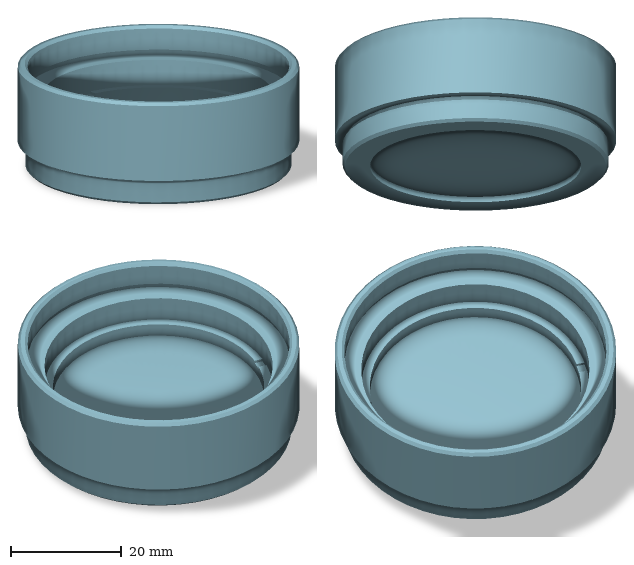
import cadquery as cq
import math

outer_radius = 25.4
total_height = 19.5
edge_chamfer = 0.5
shoulder_z = 4.95
spigot_radius = 24.05
spigot_top_z = 4.05
spigot_groove_radius = 23.5

mouth_radius = 23.6
shelf_z = 14.0
mouth_groove_radius = 24.05
mouth_groove_height = 1.0
bore_radius = 20.55
clear_radius = 19.05
lip_height = 1.0

ring_bottom_z = 6.8
ring_top_z = 9.3
slot_width = 2.0
slot_depth = 0.5

dome_rise = 0.75


def revolve_outline(outline):
    """Turn a closed radius-height outline about the Z axis."""
    return outline.close().revolve(360, (0, 0, 0), (0, 1, 0))


def make_housing():
    rim_edge_z = total_height - edge_chamfer
    outline = cq.Workplane("XZ").polyline([
        (clear_radius, 0),
        (spigot_radius - edge_chamfer, 0),
        (spigot_radius, edge_chamfer),
        (spigot_radius, spigot_top_z),
        (spigot_groove_radius, spigot_top_z),
        (spigot_groove_radius, shoulder_z),
        (outer_radius, shoulder_z),
        (outer_radius, rim_edge_z),
        (outer_radius - edge_chamfer, total_height),
        (mouth_radius + edge_chamfer, total_height),
        (mouth_radius, rim_edge_z),
        (mouth_radius, shelf_z + mouth_groove_height),
        (mouth_groove_radius, shelf_z + mouth_groove_height),
        (mouth_groove_radius, shelf_z),
        (bore_radius, shelf_z),
        (bore_radius, lip_height),
        (clear_radius, lip_height),
    ])
    return revolve_outline(outline)


def make_retaining_ring():
    ring = (
        cq.Workplane("XY", origin=(0, 0, ring_bottom_z))
        .circle(bore_radius)
        .circle(clear_radius)
        .extrude(ring_top_z - ring_bottom_z)
    )
    spanner_slots = (
        cq.Workplane("XY", origin=(0, 0, ring_top_z - slot_depth))
        .rect(2 * outer_radius, slot_width)
        .extrude(slot_depth)
    )
    return ring.cut(spanner_slots)


def make_lens():
    dome_radius = (clear_radius**2 + dome_rise**2) / (2 * dome_rise)
    apex_z = ring_bottom_z + dome_rise
    center_z = apex_z - dome_radius
    middle_r = bore_radius / 2

    def dome_z(r):
        return center_z + math.sqrt(dome_radius**2 - r**2)

    outline = (
        cq.Workplane("XZ")
        .moveTo(0, lip_height)
        .lineTo(bore_radius, lip_height)
        .lineTo(bore_radius, dome_z(bore_radius))
        .threePointArc((middle_r, dome_z(middle_r)), (0, apex_z))
    )
    return revolve_outline(outline)


housing = make_housing()
retaining_ring = make_retaining_ring()
lens = make_lens()

result = cq.Compound.makeCompound([housing.val(), retaining_ring.val(), lens.val()])